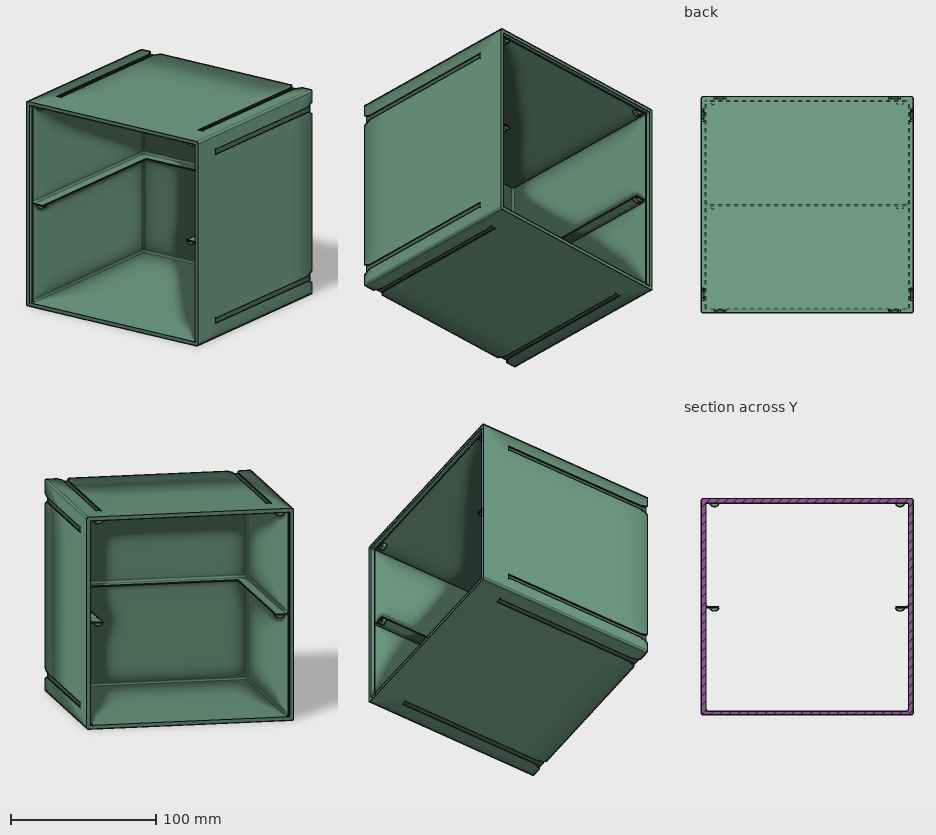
import cadquery as cq

width = 146.1
depth = 134.4
height = 149.3
outer_radius = 1.5

wall = 2.7
rear_wall = 1.0
front_recess = 3.0
recess_step = 0.7
opening_radius = 0.7
inner_radius = 1.5
shelf_thickness = 0.7
rail_width = 8.5

stop_offset = 9.1
stop_width = 6.5
stop_drop = 2.4
stop_length = 3.0
stop_setback = 0.7

groove_offset = 13.0
groove_mouth = 3.6
groove_base = 6.3
groove_depth = 2.0
groove_length = 113.9
flare_width = 8.5
flare_length = 5.2

front = -depth / 2
rear = depth / 2
inner_front = front + front_recess
inner_width = width - 2 * (wall + recess_step)
inner_depth = rear - rear_wall - inner_front
ceiling = height - wall - recess_step
compartment_height = (ceiling - wall - shelf_thickness) / 2
floors = [wall, wall + compartment_height + shelf_thickness]


def block(x_size, y_start, y_size, z_start, z_size):
    """Box centred on X, starting at the given Y and Z."""
    solid = cq.Workplane("XY").box(x_size, y_size, z_size, centered=(True, False, False))
    return solid.translate((0, y_start, z_start))


def compartment(floor):
    """Drawer space with rounded floor edges and rounded rear corners."""
    space = block(inner_width, inner_front, inner_depth, floor, compartment_height)
    return space.edges("(<Z and (not <Y)) or (|Z and >Y)").fillet(inner_radius)


def mouth():
    """Slightly wider opening in front of the compartments."""
    opening = block(width - 2 * wall, front, front_recess, wall, height - 2 * wall)
    return opening.edges("|Y").fillet(opening_radius)


def shelf_opening():
    """Clearance through the shelf that leaves a U-shaped ledge."""
    return block(
        inner_width - 2 * rail_width,
        inner_front,
        inner_depth - rail_width,
        floors[1] - shelf_thickness,
        shelf_thickness + inner_radius,
    )


def stop(side, top):
    """Rounded stop hanging from a surface at height top."""
    x_centre = side * (width / 2 - stop_offset)
    return (
        cq.Workplane("XZ", origin=(x_centre, inner_front + stop_setback, top))
        .moveTo(-stop_width / 2, 0)
        .threePointArc((0, -stop_drop), (stop_width / 2, 0))
        .close()
        .extrude(-stop_length)
    )


def groove():
    """Undercut groove at the origin, cut into a face at z = 0 and flared open at the rear."""
    slot = (
        cq.Workplane("XZ", origin=(0, rear, 0))
        .polyline(
            [
                (-groove_mouth / 2, 0),
                (groove_mouth / 2, 0),
                (groove_base / 2, -groove_depth),
                (-groove_base / 2, -groove_depth),
            ]
        )
        .close()
        .extrude(groove_length)
    )
    flare = (
        cq.Workplane("XY")
        .polyline(
            [
                (-flare_width / 2, rear),
                (flare_width / 2, rear),
                (groove_mouth / 2, rear - flare_length),
                (-groove_mouth / 2, rear - flare_length),
            ]
        )
        .close()
        .extrude(-groove_depth)
    )
    return slot.union(flare)


body = block(width, front, depth, 0, height).edges("|Y").fillet(outer_radius)
body = body.cut(mouth())
for floor in floors:
    body = body.cut(compartment(floor))
body = body.cut(shelf_opening())

for floor in floors:
    for side in (-1, 1):
        body = body.union(stop(side, floor + compartment_height))

for turn in range(4):
    across, reach = (width, height) if turn % 2 == 0 else (height, width)
    for side in (-1, 1):
        cutter = groove().translate((side * (across / 2 - groove_offset), 0, reach / 2))
        cutter = cutter.rotate((0, 0, 0), (0, 1, 0), 90 * turn)
        body = body.cut(cutter.translate((0, 0, height / 2)))

result = body